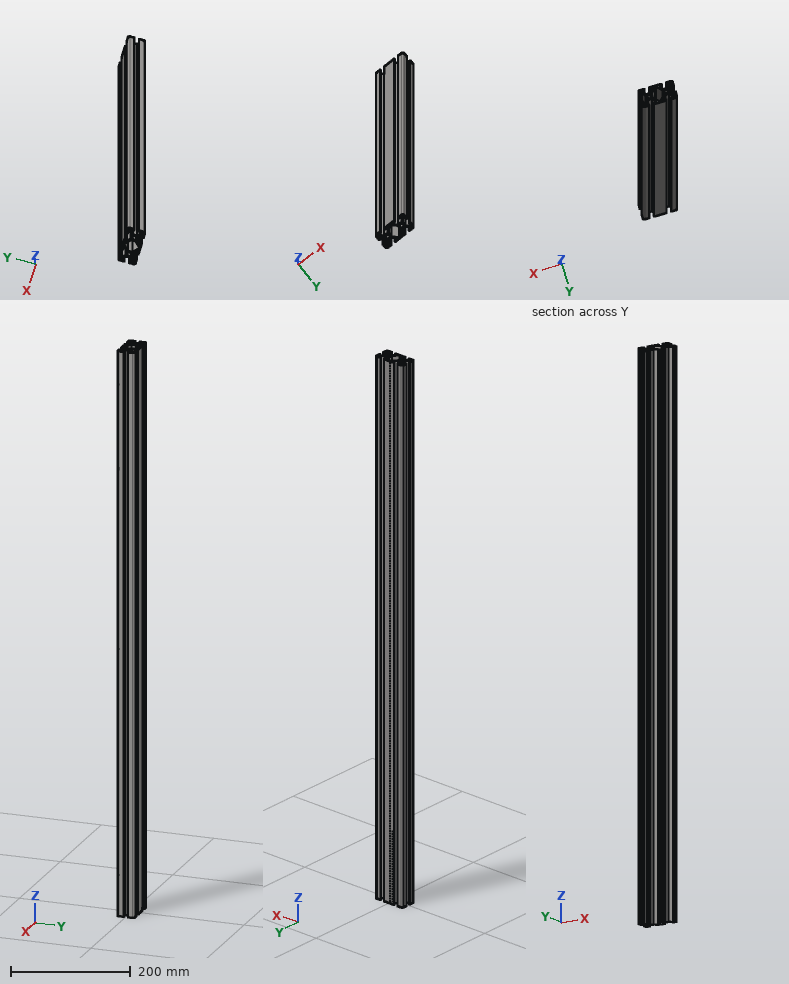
import cadquery as cq

WIDTH = 60.0
DEPTH = 30.0
LENGTH = 1000.0
CORNER_RADIUS = 3.0

SLOT_PITCH = 30.0
SLOT_OPENING = 8.2
SLOT_DEPTH = 9.75
LIP_THICKNESS = 2.25
UNDERCUT_WIDTH = 17.0
FLOOR_WIDTH = 6.8
TAPER_DEPTH = (UNDERCUT_WIDTH - FLOOR_WIDTH) / 2

CORE_HOLE_DIAMETER = 6.8
CORNER_HOLE_DIAMETER = 4.0
CORNER_HOLE_INSET = 3.5

CAVITY_WIDTH = 19.5
CAVITY_DEPTH = 25.5
CAVITY_SIDE_FLAT = 8.0
CAVITY_CORNER = (CAVITY_DEPTH - CAVITY_SIDE_FLAT) / 2

MODULE_CENTRES = [(-SLOT_PITCH / 2, 0), (SLOT_PITCH / 2, 0)]


def outer_bar():
    bar = cq.Workplane("XY").rect(WIDTH, DEPTH).extrude(LENGTH)
    return bar.edges("|Z").fillet(CORNER_RADIUS)


def slot_cutter(x, y, inward_angle):
    """T-slot with its mouth at (x, y), cutting in along inward_angle (degrees from +X)."""
    half_outline = [
        (0, SLOT_OPENING / 2),
        (LIP_THICKNESS, SLOT_OPENING / 2),
        (LIP_THICKNESS, UNDERCUT_WIDTH / 2),
        (SLOT_DEPTH - TAPER_DEPTH, UNDERCUT_WIDTH / 2),
        (SLOT_DEPTH, FLOOR_WIDTH / 2),
    ]
    other_half = [(along, -across) for along, across in reversed(half_outline)]
    cutter = cq.Workplane("XY").polyline(half_outline + other_half).close().extrude(LENGTH)
    return cutter.rotate((0, 0, 0), (0, 0, 1), inward_angle).translate((x, y, 0))


def cut_slots(bar):
    bar = bar.cut(slot_cutter(-WIDTH / 2, 0, 0))
    bar = bar.cut(slot_cutter(WIDTH / 2, 0, 180))
    for x, _ in MODULE_CENTRES:
        bar = bar.cut(slot_cutter(x, -DEPTH / 2, 90))
        bar = bar.cut(slot_cutter(x, DEPTH / 2, -90))
    return bar


def round_holes(centres, diameter):
    return cq.Workplane("XY").pushPoints(centres).circle(diameter / 2).extrude(LENGTH)


def corner_hole_centres():
    x = WIDTH / 2 - CORNER_HOLE_INSET
    y = DEPTH / 2 - CORNER_HOLE_INSET
    return [(-x, -y), (x, -y), (x, y), (-x, y)]


def cavity_cutter():
    cavity = cq.Workplane("XY").rect(CAVITY_WIDTH, CAVITY_DEPTH).extrude(LENGTH)
    return cavity.edges("|Z").chamfer(CAVITY_CORNER)


result = cut_slots(outer_bar())
result = result.cut(round_holes(MODULE_CENTRES, CORE_HOLE_DIAMETER))
result = result.cut(round_holes(corner_hole_centres(), CORNER_HOLE_DIAMETER))
result = result.cut(cavity_cutter())